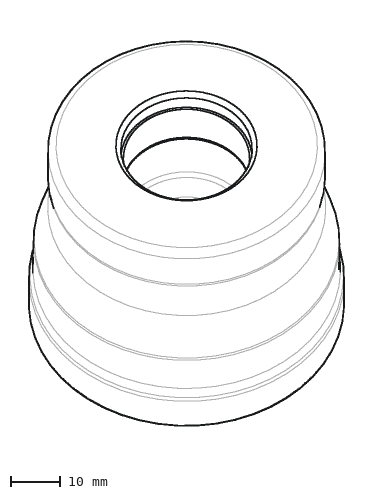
import cadquery as cq
import math

base_radius = 31.75
height = 50.8
base_chamfer = 0.4
collar_fillet = 1.6

upright = 0.0
flare_lean = 27.5
draft = 1.0
shoulder_lean = 15.0
neck_lean = -13.0

base_band_top = 8.35
base_rounding_top = 9.25
flare_top = 11.5
drafted_band_top = 20.3
shoulder_rounding_top = 20.95
shoulder_top = 31.15
neck_top = 40.4
collar_rounding_top = 41.05
collar_top = height - collar_fillet

wall_stretches = [
    (base_band_top, upright),
    (base_rounding_top, flare_lean),
    (flare_top, draft),
    (drafted_band_top, draft),
    (shoulder_rounding_top, shoulder_lean),
    (shoulder_top, shoulder_lean),
    (neck_top, neck_lean),
    (collar_rounding_top, upright),
    (collar_top, upright),
]

bore_radius = 13.2
bore_depth = 25.4
mouth_chamfer = 1.0
floor_fillet = 0.8
bolt_hole_radius = 6.95
bolt_hole_rounding = 0.45

sleeve_inner_radius = 12.7
sleeve_top_depth = 4.0
sleeve_bottom_depth = 14.0
sleeve_chamfer_height = 0.85
sleeve_chamfer_width = 0.4
sleeve_land_height = 0.15


def build_outer_shape():
    """Solid of revolution with the full outer outline, without the bore."""
    radius = base_radius
    lean = upright
    z = base_chamfer
    outline = (
        cq.Workplane("XZ")
        .lineTo(base_radius - base_chamfer, 0)
        .lineTo(base_radius, base_chamfer)
    )
    for top_z, top_lean in wall_stretches:
        chord_lean = math.radians((lean + top_lean) / 2)
        radius -= (top_z - z) * math.tan(chord_lean)
        if top_lean == lean:
            outline = outline.lineTo(radius, top_z)
        else:
            outline = outline.tangentArcPoint((radius, top_z), relative=False)
        z = top_z
        lean = top_lean
    outline = outline.tangentArcPoint((radius - collar_fillet, height), relative=False)
    return outline.lineTo(0, height).close().revolve(360, (0, 0), (0, 1))


def build_bore_cutter():
    """Solid of revolution that removes the bore, its edge treatments and the bolt hole."""
    floor_z = height - bore_depth
    return (
        cq.Workplane("XZ")
        .lineTo(bolt_hole_radius, 0)
        .lineTo(bolt_hole_radius, floor_z - bolt_hole_rounding)
        .tangentArcPoint((bolt_hole_radius + bolt_hole_rounding, floor_z), relative=False)
        .lineTo(bore_radius - floor_fillet, floor_z)
        .tangentArcPoint((bore_radius, floor_z + floor_fillet), relative=False)
        .lineTo(bore_radius, height - mouth_chamfer)
        .lineTo(bore_radius + mouth_chamfer, height)
        .lineTo(0, height)
        .close()
        .revolve(360, (0, 0), (0, 1))
    )


def build_sleeve():
    """Thin sleeve in the bore, with a steep chamfer and a short land opening its lower inner edge."""
    top_z = height - sleeve_top_depth
    bottom_z = height - sleeve_bottom_depth
    land_radius = sleeve_inner_radius + sleeve_chamfer_width
    land_top_z = bottom_z + sleeve_land_height
    return (
        cq.Workplane("XZ")
        .moveTo(sleeve_inner_radius, top_z)
        .lineTo(bore_radius, top_z)
        .lineTo(bore_radius, bottom_z)
        .lineTo(land_radius, bottom_z)
        .lineTo(land_radius, land_top_z)
        .lineTo(sleeve_inner_radius, land_top_z + sleeve_chamfer_height)
        .close()
        .revolve(360, (0, 0), (0, 1))
    )


body = build_outer_shape().cut(build_bore_cutter())
sleeve = build_sleeve()

result = cq.Compound.makeCompound([body.val(), sleeve.val()])